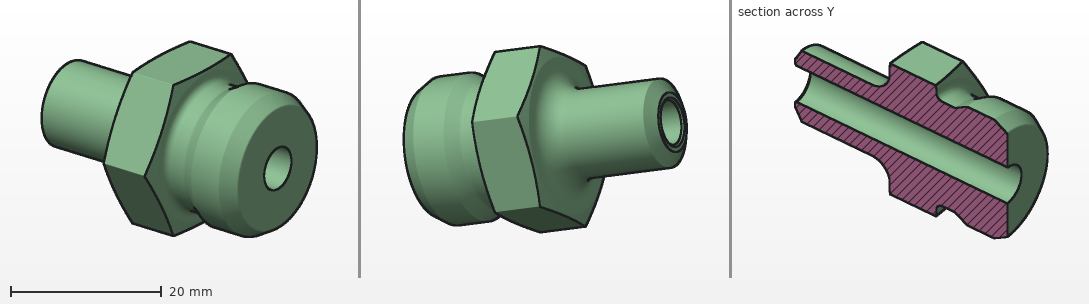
import cadquery as cq
import math

tube_end_x = 0.0
hex_start_x = 16.0
hex_end_x = 24.0
collar_shoulder_x = 29.2
total_length = 36.0

tube_radius = 12.0 / 2
tube_tip_radius = 8.0 / 2
root_fillet_radius = 3.0
tip_edge_radius = 0.1

hex_across_flats = 22.0
hex_corner_radius = hex_across_flats / math.sqrt(3)
hex_face_radius = 21.0 / 2
hex_chamfer_angle = math.radians(15)
hex_edge_radius = 0.1

undercut_radius = 17.6 / 2
collar_radius = 20.0 / 2
collar_end_radius = 17.4 / 2
undercut_fillet_radius = 1.0
collar_edge_radius = 0.3
bevel_angle = math.radians(30)

bore_radius = 6.0 / 2
bore_chamfer = 0.3


def revolve_about_x(profile):
    """Revolve a closed XY profile, whose Y is the radius, around the X axis."""
    return profile.close().revolve(360, (0, 0, 0), (1, 0, 0))


def make_tube():
    """Bevelled tube stub with an eased bevel edge, that flares with a round root into the hexagon."""
    tip_length = (tube_radius - tube_tip_radius) * math.tan(bevel_angle)
    root_start_x = hex_start_x - root_fillet_radius
    flare_radius = tube_radius + root_fillet_radius
    profile = (
        cq.Workplane("XY")
        .moveTo(tube_end_x, 0)
        .lineTo(tube_end_x, tube_tip_radius)
        .lineTo(tube_end_x + tip_length, tube_radius)
        .lineTo(root_start_x, tube_radius)
        .radiusArc((hex_start_x, flare_radius), -root_fillet_radius)
        .lineTo(hex_end_x, flare_radius)
        .lineTo(hex_end_x, 0)
    )
    bevel_edge = cq.selectors.NearestToPointSelector((tube_end_x + tip_length, 0, 0))
    return revolve_about_x(profile).edges(bevel_edge).fillet(tip_edge_radius)


def make_hexagon():
    """Hexagonal prism with eased corners, turned down conically on both faces."""
    prism = (
        cq.Workplane("YZ", origin=(hex_start_x, 0, 0))
        .polygon(6, 2 * hex_corner_radius)
        .extrude(hex_end_x - hex_start_x)
        .edges("|X")
        .fillet(hex_edge_radius)
    )
    chamfer_length = (hex_corner_radius - hex_face_radius) * math.tan(hex_chamfer_angle)
    envelope = (
        cq.Workplane("XY")
        .moveTo(hex_start_x, 0)
        .lineTo(hex_start_x, hex_face_radius)
        .lineTo(hex_start_x + chamfer_length, hex_corner_radius)
        .lineTo(hex_end_x - chamfer_length, hex_corner_radius)
        .lineTo(hex_end_x, hex_face_radius)
        .lineTo(hex_end_x, 0)
    )
    return prism.intersect(revolve_about_x(envelope))


def make_collar():
    """Undercut with rounded corners, followed by a collar bevelled on both sides with eased edges."""
    end_bevel_length = (collar_radius - collar_end_radius) / math.tan(bevel_angle)
    bevel_start_x = collar_shoulder_x - (collar_radius - undercut_radius) / math.tan(bevel_angle)
    tangent_length = undercut_fillet_radius * math.tan(bevel_angle / 2)
    round_start_x = bevel_start_x - tangent_length
    round_end_x = bevel_start_x + tangent_length * math.cos(bevel_angle)
    round_end_radius = undercut_radius + tangent_length * math.sin(bevel_angle)
    profile = (
        cq.Workplane("XY")
        .moveTo(hex_start_x, 0)
        .lineTo(hex_start_x, undercut_radius)
        .lineTo(hex_end_x, undercut_radius)
        .lineTo(hex_end_x, undercut_radius + undercut_fillet_radius)
        .radiusArc((hex_end_x + undercut_fillet_radius, undercut_radius), -undercut_fillet_radius)
        .lineTo(round_start_x, undercut_radius)
        .radiusArc((round_end_x, round_end_radius), -undercut_fillet_radius)
        .lineTo(collar_shoulder_x, collar_radius)
        .lineTo(total_length - end_bevel_length, collar_radius)
        .lineTo(total_length, collar_end_radius)
        .lineTo(total_length, 0)
    )
    shoulder_edges = cq.selectors.RadiusNthSelector(-1)
    end_edge = cq.selectors.DirectionMinMaxSelector(cq.Vector(1, 0, 0), True)
    return revolve_about_x(profile).edges(shoulder_edges + end_edge).fillet(collar_edge_radius)


def make_bore():
    """Through bore with a small chamfer at the tube end."""
    profile = (
        cq.Workplane("XY")
        .moveTo(tube_end_x, 0)
        .lineTo(tube_end_x, bore_radius + bore_chamfer)
        .lineTo(tube_end_x + bore_chamfer, bore_radius)
        .lineTo(total_length, bore_radius)
        .lineTo(total_length, 0)
    )
    return revolve_about_x(profile)


result = make_tube().union(make_hexagon()).union(make_collar()).cut(make_bore())